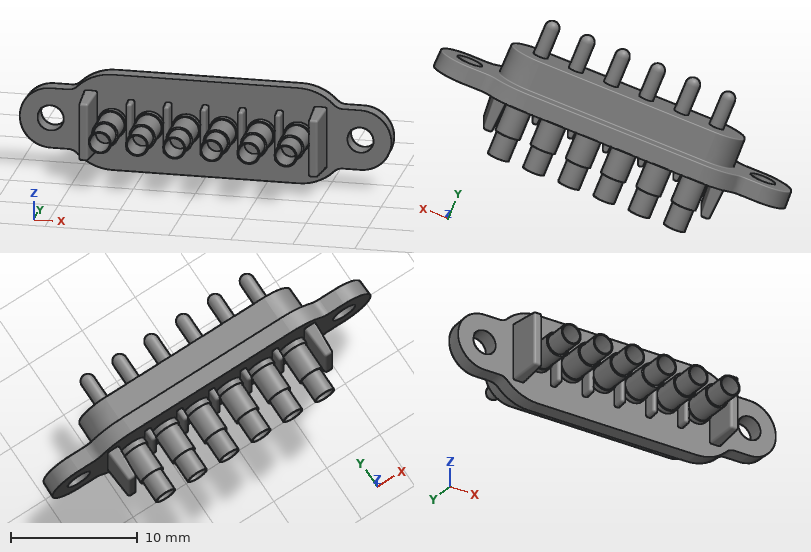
import cadquery as cq
import math


flange_thickness = 1.45
flange_draft = 2.0
flange_edge_radius = 0.1
row_spacing = 15.0
flange_end_radius = 4.0
ear_spacing = 25.0
ear_radius = 2.5
ear_hole_diameter = 2.1
neck_radius = 1.0

shell_height = 2.5
shell_draft = 1.0
shell_end_radius = 2.5
shell_edge_radius = 0.1
shell_foot_radius = 0.1

contact_count = 6
contact_pitch = 3.0
pin_diameter = 1.2
pin_length = 3.0
collar_diameter = 2.3
collar_length = 0.5
barrel_diameter = 2.1
barrel_length = 2.9
tube_diameter = 1.8
tube_length = 4.85
bore_diameter = 1.6
bore_depth = 2.0
bore_draft = 1.5

rib_width = 0.55
rib_height = 4.05
rib_length = 1.0
rib_draft = 3.0
rib_edge_radius = 0.2

tab_offset = 9.27
tab_width = 1.07
tab_height = 5.1
tab_length = 2.8
tab_draft = 3.5
tab_edge_radius = 0.2

shell_back = flange_thickness + shell_height
contact_xs = [(i - (contact_count - 1) / 2) * contact_pitch for i in range(contact_count)]
rib_xs = [x + contact_pitch / 2 for x in contact_xs[:-1]]
tab_xs = [-tab_offset, tab_offset]
ear_xs = [-ear_spacing / 2, ear_spacing / 2]


def back_plane(y):
    """Workplane at height y with its normal along +Y (local x is mirrored)."""
    return cq.Workplane(cq.Plane(origin=(0, y, 0), xDir=(-1, 0, 0), normal=(0, 1, 0)))


def front_plane(y):
    """Workplane at height y with its normal along -Y."""
    return cq.Workplane("XZ", origin=(0, y, 0))


def flange_outline():
    """Closed outline: the wide obround blended into each ear by a concave neck arc."""
    end_x = row_spacing / 2
    ear_x = ear_spacing / 2
    neck_z = ear_radius + neck_radius
    neck_x = end_x + math.sqrt((flange_end_radius + neck_radius)**2 - neck_z**2)
    neck_angle = math.atan2(neck_z, neck_x - end_x)
    join_x = end_x + flange_end_radius * math.cos(neck_angle)
    join_z = flange_end_radius * math.sin(neck_angle)
    mid_angle = (math.pi / 2 + neck_angle) / 2
    end_mid_x = end_x + flange_end_radius * math.cos(mid_angle)
    end_mid_z = flange_end_radius * math.sin(mid_angle)
    neck_mid_x = neck_x - neck_radius * math.cos(mid_angle)
    neck_mid_z = neck_z - neck_radius * math.sin(mid_angle)
    outline = back_plane(0).moveTo(-end_x, flange_end_radius)
    for side in (1, -1):
        outline = (
            outline.lineTo(side * end_x, side * flange_end_radius)
            .threePointArc((side * end_mid_x, side * end_mid_z), (side * join_x, side * join_z))
            .threePointArc((side * neck_mid_x, side * neck_mid_z), (side * neck_x, side * ear_radius))
            .lineTo(side * ear_x, side * ear_radius)
            .threePointArc((side * (ear_x + ear_radius), 0), (side * ear_x, -side * ear_radius))
            .lineTo(side * neck_x, -side * ear_radius)
            .threePointArc((side * neck_mid_x, -side * neck_mid_z), (side * join_x, -side * join_z))
            .threePointArc((side * end_mid_x, -side * end_mid_z), (side * end_x, -side * flange_end_radius))
        )
    return outline.close()


def make_flange():
    flange = flange_outline().extrude(flange_thickness, taper=flange_draft)
    return flange.faces(">Y").edges().fillet(flange_edge_radius)


def make_shell():
    length = row_spacing + 2 * shell_end_radius
    shell = back_plane(flange_thickness).slot2D(length, 2 * shell_end_radius)
    shell = shell.extrude(shell_height, taper=shell_draft)
    return shell.faces(">Y").edges().fillet(shell_edge_radius)


def make_housing():
    """Flange and shell in one piece, with the foot of the shell rounded into the flange."""
    housing = make_flange().union(make_shell())
    half_height = shell_end_radius + shell_foot_radius
    half_length = row_spacing / 2 + half_height
    foot_edges = cq.selectors.BoxSelector(
        (-half_length, flange_thickness - shell_foot_radius, -half_height),
        (half_length, flange_thickness + shell_foot_radius, half_height),
        boundingbox=True,
    )
    housing = housing.edges(foot_edges).fillet(shell_foot_radius)
    ear_holes = back_plane(0).pushPoints([(x, 0) for x in ear_xs])
    return housing.cut(ear_holes.circle(ear_hole_diameter / 2).extrude(flange_thickness))


def make_blade(x, width, height, length, draft, edge_radius):
    """Drafted plate standing on the flange front, with its tip and long edges rounded."""
    blade = front_plane(0).center(x, 0).rect(width, height).extrude(length, taper=draft)
    return blade.edges("not(>Y)").fillet(edge_radius)


def make_contact(x):
    """Round-nosed pin at the back; collar, barrel and hollow solder tube at the front."""
    pin_radius = pin_diameter / 2
    shank_end = shell_back + pin_length - pin_radius
    contact = front_plane(shank_end).center(x, 0).circle(pin_radius).extrude(shank_end)
    contact = contact.union(cq.Workplane("XY").sphere(pin_radius).translate((x, shank_end, 0)))
    steps = [
        (collar_diameter, collar_length),
        (barrel_diameter, barrel_length),
        (tube_diameter, tube_length),
    ]
    for diameter, length in steps:
        contact = contact.union(front_plane(0).center(x, 0).circle(diameter / 2).extrude(length))
    bore = back_plane(-tube_length).center(-x, 0).circle(bore_diameter / 2)
    return contact.cut(bore.extrude(bore_depth, taper=bore_draft))


result = make_housing()
for rib_x in rib_xs:
    result = result.union(make_blade(rib_x, rib_width, rib_height, rib_length, rib_draft, rib_edge_radius))
for tab_x in tab_xs:
    result = result.union(make_blade(tab_x, tab_width, tab_height, tab_length, tab_draft, tab_edge_radius))
for contact_x in contact_xs:
    result = result.union(make_contact(contact_x))